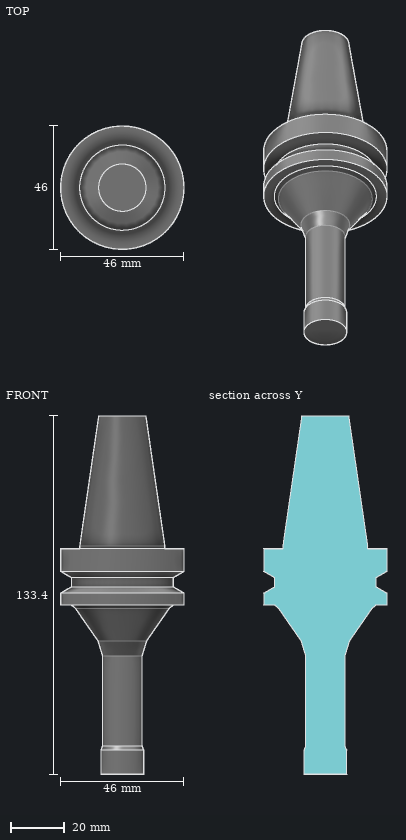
import cadquery as cq
import math


gauge_diameter = 31.75
taper_length = 48.4
taper_ratio = 7 / 24
gauge_radius = gauge_diameter / 2
taper_tip_radius = gauge_radius - taper_length * taper_ratio / 2
collar_length = 1.0

flange_radius = 46.0 / 2
flange_top = -collar_length
flange_bottom = -22.0
groove_root_radius = 38.0 / 2
groove_middle = -13.5
groove_root_width = 3.4
groove_wall_angle = 30.0
groove_wall_height = (flange_radius - groove_root_radius) * math.tan(math.radians(groove_wall_angle))
groove_root_top = groove_middle + groove_root_width / 2
groove_root_bottom = groove_middle - groove_root_width / 2

shank_radius = 14.8 / 2
nose_radius = 16.0 / 2
nose_bottom = -85.0
nose_length = 9.0
nose_cone_angle = 20.0
nose_top = nose_bottom + nose_length
nose_cone_top = nose_top + (nose_radius - shank_radius) / math.tan(math.radians(nose_cone_angle))

neck_top = (38.0 / 2, flange_bottom)
main_cone_top = (17.5, -23.2)
lower_cone_top = (9.1, -35.3)
shank_top = (shank_radius, -40.9)


def make_holder():
    """Revolve the half profile, drawn as (radius, height), about the Z axis."""
    profile = cq.Workplane("XZ").moveTo(0, taper_length)

    profile = (
        profile.lineTo(taper_tip_radius, taper_length)
        .lineTo(gauge_radius, 0)
        .lineTo(gauge_radius, flange_top)
    )

    profile = (
        profile.lineTo(flange_radius, flange_top)
        .lineTo(flange_radius, groove_root_top + groove_wall_height)
        .lineTo(groove_root_radius, groove_root_top)
        .lineTo(groove_root_radius, groove_root_bottom)
        .lineTo(flange_radius, groove_root_bottom - groove_wall_height)
        .lineTo(flange_radius, flange_bottom)
    )

    profile = (
        profile.lineTo(*neck_top)
        .lineTo(*main_cone_top)
        .lineTo(*lower_cone_top)
        .lineTo(*shank_top)
    )

    profile = (
        profile.lineTo(shank_radius, nose_cone_top)
        .lineTo(nose_radius, nose_top)
        .lineTo(nose_radius, nose_bottom)
        .lineTo(0, nose_bottom)
        .close()
    )
    return profile.revolve(360, (0, 0, 0), (0, 1, 0))


result = make_holder()